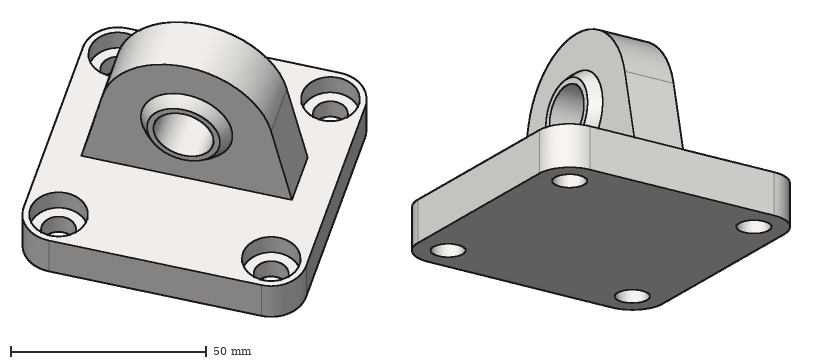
import cadquery as cq
import math

plate_side = 75.0
plate_thickness = 12.0
hole_spacing = 56.5
corner_radius = (plate_side - hole_spacing) / 2
screw_hole_diameter = 9.0
counterbore_diameter = 15.0
counterbore_depth = 6.0

total_height = 55.0
bore_height = 32.0
lug_thickness = 15.0
lug_base_half_width = 28.0
lug_top_radius = total_height - bore_height

ball_diameter = 28.6
ball_width = 21.0
ball_bore_diameter = 16.0


def make_plate():
    """Rounded square plate with a counterbored screw hole in each corner."""
    plate = (
        cq.Workplane("XY")
        .rect(plate_side, plate_side)
        .extrude(plate_thickness)
        .edges("|Z")
        .fillet(corner_radius)
    )
    return (
        plate.faces(">Z")
        .workplane()
        .rect(hole_spacing, hole_spacing, forConstruction=True)
        .vertices()
        .cboreHole(screw_hole_diameter, counterbore_diameter, counterbore_depth)
    )


def make_lug():
    """Tapered lug whose straight flanks run tangent into the round top."""
    drop = bore_height - plate_thickness
    corner_distance = math.hypot(lug_base_half_width, drop)
    tangent_angle = math.acos(lug_top_radius / corner_distance) - math.atan2(drop, lug_base_half_width)
    tangent_x = lug_top_radius * math.cos(tangent_angle)
    tangent_z = bore_height + lug_top_radius * math.sin(tangent_angle)
    return (
        cq.Workplane("XZ")
        .moveTo(-lug_base_half_width, plate_thickness)
        .lineTo(lug_base_half_width, plate_thickness)
        .lineTo(tangent_x, tangent_z)
        .threePointArc((0, total_height), (-tangent_x, tangent_z))
        .close()
        .extrude(lug_thickness / 2, both=True)
    )


def make_sphere():
    """Full sphere centred on the bore axis, with its poles on that axis."""
    return (
        cq.Workplane("XY")
        .sphere(ball_diameter / 2)
        .rotate((0, 0, 0), (1, 0, 0), 90)
        .translate((0, 0, bore_height))
    )


def make_housing():
    """Plate and lug in one piece, with a spherical socket for the ball."""
    return make_plate().union(make_lug()).cut(make_sphere())


def make_ball():
    """Sphere with two flat ends and a through bore along Y."""
    bored_cylinder = (
        cq.Workplane("XZ", origin=(0, 0, bore_height))
        .circle(ball_diameter / 2)
        .circle(ball_bore_diameter / 2)
        .extrude(ball_width / 2, both=True)
    )
    return make_sphere().intersect(bored_cylinder)


housing = make_housing()
ball = make_ball()
result = cq.Compound.makeCompound([housing.solids().val(), ball.solids().val()])